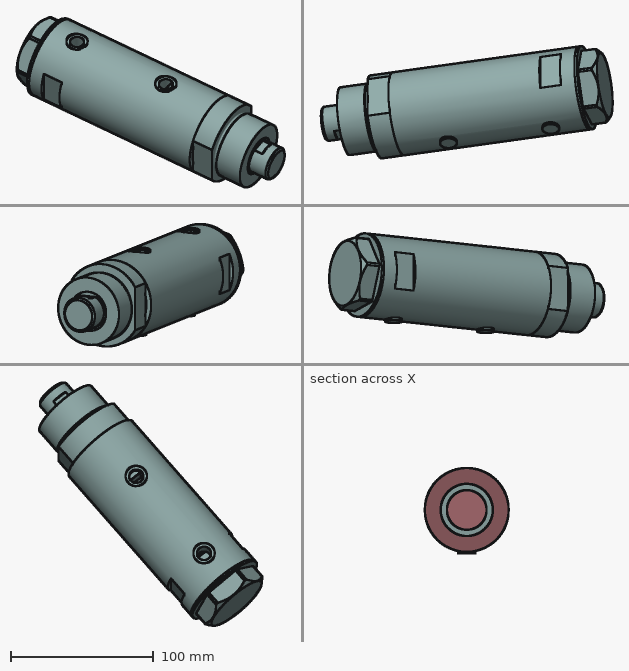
import cadquery as cq
import math

cap_flange_start = 13.0
housing_start = 14.8
rod_start = 38.7
gland_inner_end = 111.0
housing_end = 149.0
gland_neck_start = 165.0
collar_start = 167.5
collar_end = 187.5
rod_end = 202.5

housing_diameter = 59.0
bore_diameter = 36.5
gland_spigot_diameter = 51.5
rod_diameter = 28.0
rod_nose_diameter = 24.3
collar_diameter = 48.2
gland_neck_diameter = 45.7
gland_neck_fillet = 0.8

hex_across_flats = 46.2
hex_corner_diameter = 52.2
hex_face_diameter = 45.7
hex_chamfer_length = 3.0
hex_tilt = 6.0

housing_slot_start = 25.0
housing_slot_end = 40.0
housing_slot_across = 52.8
gland_across_flats = 50.2
rod_flat_end = 194.1
rod_across_flats = 21.7
rod_tip_chamfer = 1.5

port_centers = (35.6, 110.0)
port_diameter = 10.0
spotface_diameter = 15.0
spotface_depth = 1.2
boss_centers = (39.0, 113.0)
boss_diameter = 12.0
boss_height = 1.2

housing_radius = housing_diameter / 2


def cylinder_x(start, end, diameter):
    """Solid cylinder about the X axis between two X positions."""
    return cq.Workplane("YZ", origin=(start, 0, 0)).circle(diameter / 2).extrude(end - start)


def cylinder_z(x, bottom, top, diameter):
    """Solid cylinder parallel to Z, centred on the given X position."""
    return cq.Workplane("XY", origin=(x, 0, bottom)).circle(diameter / 2).extrude(top - bottom)


def slab(start, end, size_y, size_z):
    """Box centred on the X axis between two X positions."""
    return cq.Workplane("YZ", origin=(start, 0, 0)).rect(size_y, size_z).extrude(end - start)


def make_hex_head():
    """Tilted hexagon with turned corners and a chamfered outer face."""
    across_corners = hex_across_flats / math.cos(math.radians(30))
    hexagon = (
        cq.Workplane("YZ")
        .polygon(6, across_corners)
        .extrude(cap_flange_start)
        .rotate((0, 0, 0), (1, 0, 0), -hex_tilt)
    )
    turned_blank = (
        cq.Workplane("XY")
        .polyline([
            (0, 0),
            (0, hex_face_diameter / 2),
            (hex_chamfer_length, hex_corner_diameter / 2),
            (cap_flange_start, hex_corner_diameter / 2),
            (cap_flange_start, 0),
        ])
        .close()
        .revolve(360, (0, 0, 0), (1, 0, 0))
    )
    return hexagon.intersect(turned_blank)


def make_cap():
    """Hexagon head, flange and a plug that fills the bore up to the rod."""
    return (
        make_hex_head()
        .union(cylinder_x(cap_flange_start, housing_start, housing_diameter))
        .union(cylinder_x(housing_start, rod_start, bore_diameter))
    )


def make_housing():
    """Tube with two side slots, two spotfaced ports and two round bosses."""
    housing = cylinder_x(housing_start, housing_end, housing_diameter)
    for x in boss_centers:
        housing = housing.union(cylinder_z(x, -housing_radius - boss_height, 0, boss_diameter))
    housing = housing.cut(cylinder_x(housing_start, housing_end, bore_diameter))
    housing = housing.cut(cylinder_x(gland_inner_end, housing_end, gland_spigot_diameter))

    slot_ring = slab(housing_slot_start, housing_slot_end, 2 * housing_diameter, housing_diameter)
    slot_core = slab(housing_slot_start, housing_slot_end, housing_slot_across, housing_diameter)
    housing = housing.cut(slot_ring.cut(slot_core))

    for x in port_centers:
        spotface_floor = housing_radius - spotface_depth
        housing = housing.cut(cylinder_z(x, spotface_floor, housing_diameter, spotface_diameter))
        housing = housing.cut(cylinder_z(x, 0, housing_diameter, port_diameter))
    return housing


def make_gland_collar():
    """Neck with a fillet at both ends, followed by a collar with a chamfered inner edge."""
    neck_radius = gland_neck_diameter / 2
    collar_radius = collar_diameter / 2
    fillet_top = neck_radius + gland_neck_fillet
    collar_chamfer = collar_radius - fillet_top
    return (
        cq.Workplane("XY")
        .moveTo(gland_neck_start, 0)
        .lineTo(gland_neck_start, fillet_top)
        .radiusArc((gland_neck_start + gland_neck_fillet, neck_radius), -gland_neck_fillet)
        .lineTo(collar_start - gland_neck_fillet, neck_radius)
        .radiusArc((collar_start, fillet_top), -gland_neck_fillet)
        .lineTo(collar_start + collar_chamfer, collar_radius)
        .lineTo(collar_end, collar_radius)
        .lineTo(collar_end, 0)
        .close()
        .revolve(360, (0, 0, 0), (1, 0, 0))
    )


def make_gland():
    """Bored gland: spigot in the housing, flange with two flats, neck and collar."""
    flange = cylinder_x(housing_end, gland_neck_start, housing_diameter).intersect(
        slab(housing_end, gland_neck_start, gland_across_flats, housing_diameter)
    )
    return (
        cylinder_x(gland_inner_end, housing_end, gland_spigot_diameter)
        .union(flange)
        .union(make_gland_collar())
        .cut(cylinder_x(gland_inner_end, collar_end, rod_diameter))
    )


def make_rod():
    """Rod with a smaller nose that carries two flats and a chamfered tip."""
    nose = cylinder_x(collar_end, rod_end, rod_nose_diameter).faces(">X").chamfer(rod_tip_chamfer)
    flat_core = slab(collar_end, rod_flat_end, rod_nose_diameter, rod_across_flats)
    plain_nose = slab(rod_flat_end, rod_end, rod_nose_diameter, rod_nose_diameter)
    nose = nose.intersect(flat_core.union(plain_nose))
    return cylinder_x(rod_start, collar_end, rod_diameter).union(nose)


cap = make_cap()
housing = make_housing()
gland = make_gland()
rod = make_rod()

result = cq.Compound.makeCompound([cap.val(), housing.val(), gland.val(), rod.val()])